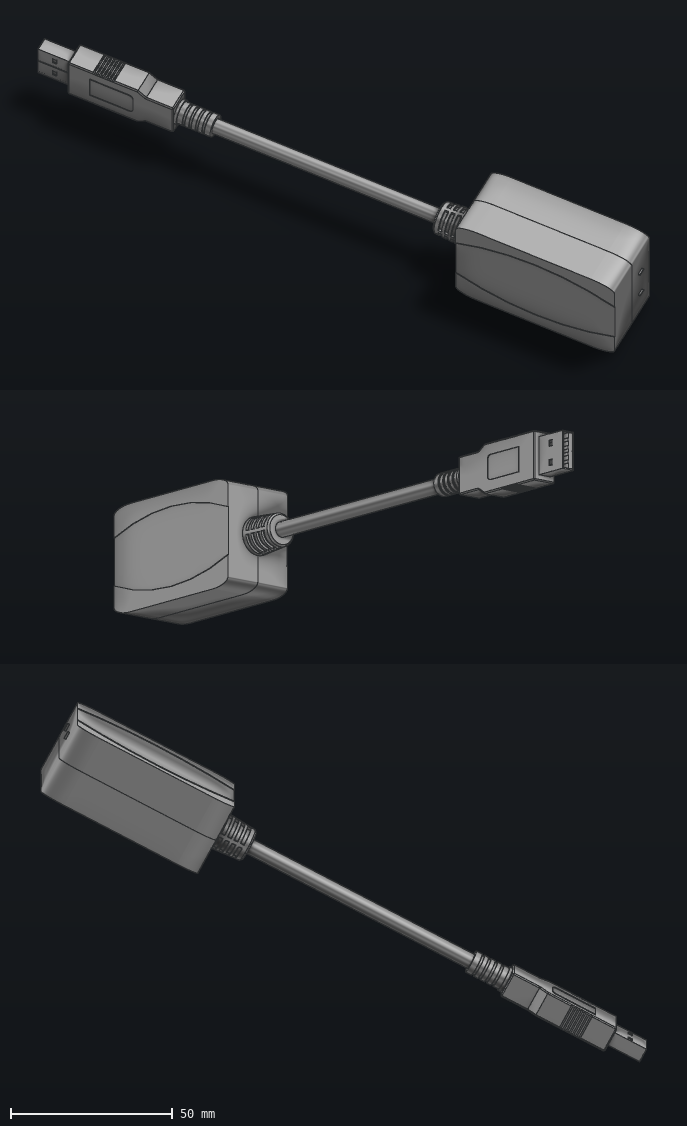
import cadquery as cq


SHELL_LENGTH = 11.3
SHELL_DEPTH = 4.5
SHELL_HEIGHT = 12.1
SHELL_WALL = 0.5
SEAM_WIDTH = 0.2
WINDOW_X = 5.8
WINDOW_Z = 3.0
WINDOW_LENGTH = 1.5
WINDOW_HEIGHT = 1.8
TONGUE_THICKNESS = 1.6
CONTACT_WIDTH = 1.0
CONTACT_THICKNESS = 0.2
CONTACT_POSITIONS = (-3.5, -1.0, 1.0, 3.5)

GRIP_START = SHELL_LENGTH
GRIP_END = 47.9
GRIP_DEPTH = 8.5
GRIP_HEIGHT = 15.8
GRIP_NECK_HEIGHT = 12.1
SHOULDER_START = 35.5
SHOULDER_END = 38.5
GRIP_CHAMFER = 0.5
PANEL_START = 19.0
PANEL_END = 34.0
PANEL_HEIGHT = 8.0
PANEL_CORNER = 1.5
PANEL_DEPTH = 0.2
FINGER_GROOVE_COUNT = 7
FINGER_GROOVE_START = 20.0
FINGER_GROOVE_PITCH = 1.13
FINGER_GROOVE_WIDTH = 0.51
FINGER_GROOVE_DEPTH = 0.3

SLEEVE_END = 60.5
SLEEVE_RADIUS = 3.7
SLEEVE_BASE_RADIUS = 4.1
SLEEVE_BASE_LENGTH = 1.0
SLEEVE_GROOVE_COUNT = 4
SLEEVE_GROOVE_START = 50.8
SLEEVE_GROOVE_PITCH = 2.3
SLEEVE_GROOVE_WIDTH = 0.8
SLEEVE_GROOVE_DEPTH = 0.5

CABLE_RADIUS = 2.5

HOUSING_START = 149.8
HOUSING_END = 205.0
HOUSING_DEPTH = 24.0
HOUSING_HEIGHT = 34.5
CORNER_DROP = 2.7
FRONT_CORNER_LENGTH = 7.2
REAR_CORNER_LENGTH = 8.2
OVAL_END_Z = 7.6
OVAL_MIDDLE_Z = 12.7
OVAL_DEPTH = 0.2
TAB_Y = 5.5
TAB_Z = 5.3
TAB_DEPTH = 2.5
TAB_THICKNESS = 0.5
OVERALL_LENGTH = 205.5

RELIEF_START = 138.3
RELIEF_START_RADIUS = 5.3
RELIEF_END_RADIUS = 6.2
RELIEF_CHAMFER = 0.6
RELIEF_GROOVE_COUNT = 4
RELIEF_GROOVE_START = 140.4
RELIEF_GROOVE_PITCH = 2.3
RELIEF_GROOVE_WIDTH = 1.2
RELIEF_GROOVE_DEPTH = 0.8
RELIEF_SPINE_WIDTH = 1.2


def block(x_start, x_end, depth, height, y=0.0, z=0.0):
    """Box from x_start to x_end, centred on y and z."""
    length = x_end - x_start
    return cq.Workplane("XY").box(length, depth, height).translate((x_start + length / 2, y, z))


def rod(x_start, x_end, radius):
    """Cylinder on the X axis."""
    return cq.Workplane("YZ", origin=(x_start, 0, 0)).circle(radius).extrude(x_end - x_start)


def ring(x_start, width, inner_radius, outer_radius):
    """Ring on the X axis, used to cut a groove round a sleeve."""
    plane = cq.Workplane("YZ", origin=(x_start, 0, 0))
    return plane.circle(outer_radius).circle(inner_radius).extrude(width)


def make_shell():
    """Folded metal tube with two windows per broad side and a butt seam on its -Y side."""
    shell = block(0, SHELL_LENGTH, SHELL_DEPTH, SHELL_HEIGHT).cut(
        block(0, SHELL_LENGTH, SHELL_DEPTH - 2 * SHELL_WALL, SHELL_HEIGHT - 2 * SHELL_WALL)
    )
    window_start = WINDOW_X - WINDOW_LENGTH / 2
    for z in (-WINDOW_Z, WINDOW_Z):
        window = block(window_start, window_start + WINDOW_LENGTH, SHELL_DEPTH, WINDOW_HEIGHT, z=z)
        shell = shell.cut(window)
    seam_y = -(SHELL_DEPTH - SHELL_WALL) / 2
    return shell.cut(block(0, SHELL_LENGTH, SHELL_WALL, SEAM_WIDTH, y=seam_y))


def make_tongue():
    """Insulator lying on the -Y wall of the shell, with four raised contact strips."""
    wall_y = -SHELL_DEPTH / 2 + SHELL_WALL
    tongue_height = SHELL_HEIGHT - 2 * SHELL_WALL
    tongue = block(0, SHELL_LENGTH, TONGUE_THICKNESS, tongue_height, y=wall_y + TONGUE_THICKNESS / 2)
    contact_y = wall_y + TONGUE_THICKNESS + CONTACT_THICKNESS / 2
    for z in CONTACT_POSITIONS:
        tongue = tongue.union(block(0, SHELL_LENGTH, CONTACT_THICKNESS, CONTACT_WIDTH, y=contact_y, z=z))
    return tongue


def make_grip_block():
    """Chamfered grip that narrows over sloped shoulders to its neck."""
    half_height = GRIP_HEIGHT / 2
    half_neck = GRIP_NECK_HEIGHT / 2
    outline = [
        (GRIP_START, -half_height),
        (SHOULDER_START, -half_height),
        (SHOULDER_END, -half_neck),
        (GRIP_END, -half_neck),
        (GRIP_END, half_neck),
        (SHOULDER_END, half_neck),
        (SHOULDER_START, half_height),
        (GRIP_START, half_height),
    ]
    grip = cq.Workplane("XZ").polyline(outline).close().extrude(GRIP_DEPTH / 2, both=True)
    return grip.faces("<Y or >Y or <X or >X").chamfer(GRIP_CHAMFER)


def cut_grip_panels(grip):
    """Shallow label panel on each broad side, rounded at its cable end."""
    panel = block(PANEL_START, PANEL_END, GRIP_DEPTH, PANEL_HEIGHT).edges("|Y and >X").fillet(PANEL_CORNER)
    for side in (-1, 1):
        grip = grip.cut(panel.translate((0, side * (GRIP_DEPTH - PANEL_DEPTH), 0)))
    return grip


def cut_finger_grooves(grip):
    """Rows of fine grooves across the two narrow sides."""
    groove_z = (GRIP_HEIGHT - FINGER_GROOVE_DEPTH) / 2
    for index in range(FINGER_GROOVE_COUNT):
        start = FINGER_GROOVE_START + index * FINGER_GROOVE_PITCH
        for side in (-1, 1):
            grip = grip.cut(
                block(start, start + FINGER_GROOVE_WIDTH, GRIP_DEPTH, FINGER_GROOVE_DEPTH, z=side * groove_z)
            )
    return grip


def make_sleeve():
    """Ribbed sleeve moulded on the back of the grip, bored for the cable."""
    sleeve = rod(GRIP_END, SLEEVE_END, SLEEVE_RADIUS)
    sleeve = sleeve.union(rod(GRIP_END, GRIP_END + SLEEVE_BASE_LENGTH, SLEEVE_BASE_RADIUS))
    for index in range(SLEEVE_GROOVE_COUNT):
        start = SLEEVE_GROOVE_START + index * SLEEVE_GROOVE_PITCH
        inner_radius = SLEEVE_RADIUS - SLEEVE_GROOVE_DEPTH
        sleeve = sleeve.cut(ring(start, SLEEVE_GROOVE_WIDTH, inner_radius, SLEEVE_BASE_RADIUS))
    return sleeve.cut(rod(GRIP_END, SLEEVE_END, CABLE_RADIUS))


def make_grip():
    """Plug grip with its sleeve, moulded as one piece."""
    grip = cut_finger_grooves(cut_grip_panels(make_grip_block()))
    return grip.union(make_sleeve())


def make_cable():
    """Straight cable from the grip, through the strain relief, to the housing."""
    return rod(GRIP_END, HOUSING_START, CABLE_RADIUS)


def make_relief():
    """Tapered strain relief whose grooves are bridged by four lengthwise spines."""
    profile = [
        (RELIEF_START, CABLE_RADIUS),
        (RELIEF_START, RELIEF_START_RADIUS - RELIEF_CHAMFER),
        (RELIEF_START + RELIEF_CHAMFER, RELIEF_START_RADIUS),
        (HOUSING_START, RELIEF_END_RADIUS),
        (HOUSING_START, CABLE_RADIUS),
    ]
    relief = cq.Workplane("XY").polyline(profile).close().revolve(360, (0, 0, 0), (1, 0, 0))
    relief_length = HOUSING_START - RELIEF_START
    across = 2 * RELIEF_END_RADIUS
    spines = block(RELIEF_START, HOUSING_START, across, RELIEF_SPINE_WIDTH)
    spines = spines.union(block(RELIEF_START, HOUSING_START, RELIEF_SPINE_WIDTH, across))
    for index in range(RELIEF_GROOVE_COUNT):
        start = RELIEF_GROOVE_START + index * RELIEF_GROOVE_PITCH
        taper = (RELIEF_END_RADIUS - RELIEF_START_RADIUS) * (start - RELIEF_START) / relief_length
        inner_radius = RELIEF_START_RADIUS + taper - RELIEF_GROOVE_DEPTH
        groove = ring(start, RELIEF_GROOVE_WIDTH, inner_radius, RELIEF_END_RADIUS)
        relief = relief.cut(groove.cut(spines))
    return relief


def make_housing_half(side):
    """Half of the housing on the -Y (side = -1) or +Y (side = 1) of the parting plane.

    Each corner of the outline is a quarter of a long flat ellipse.
    """
    half_height = HOUSING_HEIGHT / 2
    end_z = half_height - CORNER_DROP
    outline = (
        cq.Workplane("XZ")
        .moveTo(HOUSING_START, -end_z)
        .lineTo(HOUSING_START, end_z)
        .ellipseArc(FRONT_CORNER_LENGTH, CORNER_DROP, 90, 180, sense=-1)
        .lineTo(HOUSING_END - REAR_CORNER_LENGTH, half_height)
        .ellipseArc(REAR_CORNER_LENGTH, CORNER_DROP, 0, 90, sense=-1)
        .lineTo(HOUSING_END, -end_z)
        .ellipseArc(REAR_CORNER_LENGTH, CORNER_DROP, 270, 360, sense=-1)
        .lineTo(HOUSING_START + FRONT_CORNER_LENGTH, -half_height)
        .ellipseArc(FRONT_CORNER_LENGTH, CORNER_DROP, 180, 270, sense=-1)
        .close()
    )
    half = outline.extrude(-side * HOUSING_DEPTH / 2)
    return half.cut(make_oval_recess(side))


def make_oval_recess(side):
    """Shallow end-to-end recess between two arcs on the broad face."""
    middle_x = (HOUSING_START + HOUSING_END) / 2
    return (
        cq.Workplane("XZ", origin=(0, side * HOUSING_DEPTH / 2, 0))
        .moveTo(HOUSING_START, OVAL_END_Z)
        .threePointArc((middle_x, OVAL_MIDDLE_Z), (HOUSING_END, OVAL_END_Z))
        .lineTo(HOUSING_END, -OVAL_END_Z)
        .threePointArc((middle_x, -OVAL_MIDDLE_Z), (HOUSING_START, -OVAL_END_Z))
        .close()
        .extrude(side * OVAL_DEPTH)
    )


def add_end_tabs(half):
    """Two small tabs standing out of the far end of the +Y half."""
    for z in (-TAB_Z, TAB_Z):
        half = half.union(block(HOUSING_END, OVERALL_LENGTH, TAB_DEPTH, TAB_THICKNESS, y=TAB_Y, z=z))
    return half


shell = make_shell()
tongue = make_tongue()
grip = make_grip()
cable = make_cable()
relief = make_relief()
front_half = make_housing_half(-1)
back_half = add_end_tabs(make_housing_half(1))

bodies = [shell, tongue, grip, cable, relief, front_half, back_half]
result = cq.Compound.makeCompound([body.val() for body in bodies])